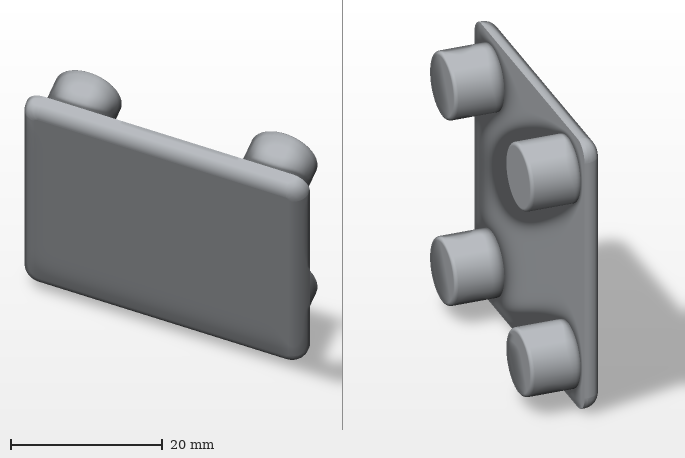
import cadquery as cq

plate_side = 40.0
plate_thickness = 2.5
corner_radius = 2.5
front_edge_radius = 2.0

peg_diameter = 9.4
peg_length = 7.0
peg_spacing = 27.7
peg_end_radius = 0.5


def make_plate():
    """Plate with rounded corners and a rounded front rim; its back face lies at Y = 0."""
    plate = (
        cq.Workplane("XZ")
        .rect(plate_side, plate_side)
        .extrude(plate_thickness)
        .edges("|Y")
        .fillet(corner_radius)
    )
    return plate.faces("<Y").edges().fillet(front_edge_radius)


def make_pegs():
    """Pegs on a square pattern, pointing toward +Y with rounded free ends."""
    pegs = (
        cq.Workplane("XZ")
        .rect(peg_spacing, peg_spacing, forConstruction=True)
        .vertices()
        .circle(peg_diameter / 2)
        .extrude(-peg_length)
    )
    return pegs.faces(">Y").edges().fillet(peg_end_radius)


result = make_plate().union(make_pegs())